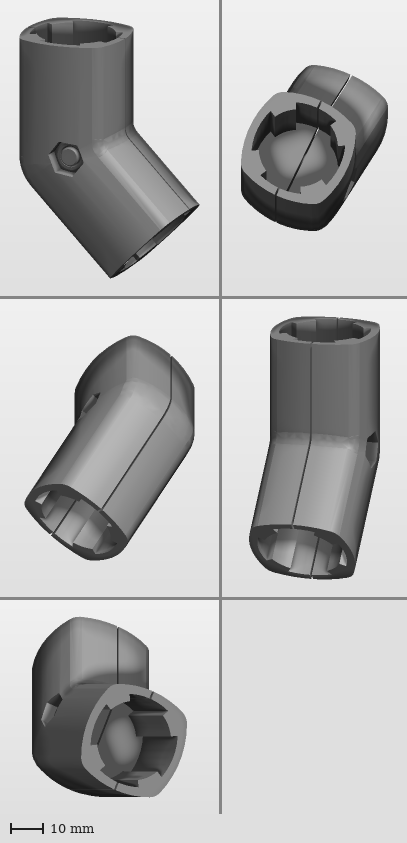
import cadquery as cq
import math


TOTAL_HEIGHT = 75.7
HALF_WIDTH = 16.5
BEND_ANGLE = 45.0
SPLIT_GAP = 0.6

CROWN_RADIUS = 30.0
CORNER_RADIUS = 5.0
OUTER_BEND_RADIUS = 15.0
INNER_BEND_RADIUS = 5.0
SIDE_BEND_RADIUS = 15.0

GROOVE_RADIUS = 14.0
GROOVE_EDGE_RADIUS = 14.5
GROOVE_ANGLE = 57.0
RIB_RADIUS = 12.25
SOCKET_DEPTH = 30.0

FASTENER_OFFSET = 3.85
HEX_ACROSS_CORNERS = 11.7
NUT_FACE_DEPTH = 12.7
NUT_FACE_DIAMETER = 8.6
NUT_BEVEL_ANGLE = 30.0
COUNTERSINK_DIAMETER = 7.0
BOLT_DIAMETER = 6.05
BOLT_TIP_DIAMETER = 5.15
BOLT_TIP_DEPTH = 13.8

MITRE_ANGLE = BEND_ANGLE / 2
MITRE_COS = math.cos(math.radians(MITRE_ANGLE))
MITRE_SIN = math.sin(math.radians(MITRE_ANGLE))
BEND_COS = math.cos(math.radians(BEND_ANGLE))
BEND_SIN = math.sin(math.radians(BEND_ANGLE))
ARM_LENGTH = (TOTAL_HEIGHT - HALF_WIDTH * BEND_SIN) / (1 + BEND_COS)
CROWN_CENTRE = CROWN_RADIUS - HALF_WIDTH
CORNER = (math.sqrt(2 * CROWN_RADIUS**2 - CROWN_CENTRE**2) - CROWN_CENTRE) / 2
HALF_GAP = SPLIT_GAP / 2
REACH = 2 * TOTAL_HEIGHT

MITRE_TOLERANCE = 0.01
CORNER_TOLERANCE = 0.3


def along_mitre(distance):
    """The point on the mitre line at a distance from where the arm axes meet."""
    return (distance * MITRE_COS, 0, distance * MITRE_SIN)


def bend_to_lower(upper):
    """Turn an upper arm feature half a turn about the mitre line, onto the lower arm."""
    return upper.rotate((0, 0, 0), along_mitre(1), 180)


def fastener_plane():
    """Plane on the split, facing the front, with its local X along the mitre line."""
    return cq.Plane(origin=along_mitre(FASTENER_OFFSET), xDir=along_mitre(1), normal=(0, -1, 0))


def hex_prism(length, both=False):
    """Hexagonal prism with two of its flats square to the mitre line."""
    sketch = cq.Workplane(fastener_plane()).transformed(rotate=(0, 0, 30))
    return sketch.polygon(6, HEX_ACROSS_CORNERS).extrude(length, both=both)


def arm_section():
    """Square of four outward arcs. Each arc is in two pieces that meet at its crown."""
    crowns = [(0, -HALF_WIDTH), (HALF_WIDTH, 0), (0, HALF_WIDTH), (-HALF_WIDTH, 0)]
    corners = [(CORNER, -CORNER), (CORNER, CORNER), (-CORNER, CORNER), (-CORNER, -CORNER)]
    half_arc = math.asin(CORNER / CROWN_RADIUS) / 2
    along = CROWN_RADIUS * math.sin(half_arc)
    out = CROWN_RADIUS * math.cos(half_arc) - CROWN_CENTRE
    leaving = [(along, -out), (out, along), (-along, out), (-out, -along)]
    arriving = [(out, -along), (along, out), (-out, along), (-along, -out)]
    outline = cq.Workplane("XY").moveTo(*crowns[0])
    for side in range(4):
        outline = outline.threePointArc(leaving[side], corners[side])
        outline = outline.threePointArc(arriving[side], crowns[(side + 1) % 4])
    return outline.close()


def upper_arm():
    """Solid upper arm with sharp corners, cut off along the mitre plane."""
    arm = arm_section().extrude(ARM_LENGTH + HALF_WIDTH).translate((0, 0, -HALF_WIDTH))
    above_mitre = cq.Workplane("XY").box(REACH, REACH, REACH, centered=(True, True, False))
    return arm.intersect(above_mitre.rotate((0, 0, 0), (0, 1, 0), -MITRE_ANGLE))


def points_along(edge):
    """Start, middle and end of an edge."""
    return [edge.positionAt(t) for t in (0, 0.5, 1)]


def round_mitre(elbow, on_face, radius):
    """Round the edges on the mitre plane whose middle point passes the on_face test."""
    edges = []
    for edge in elbow.edges().vals():
        points = points_along(edge)
        heights = [abs(point.z * MITRE_COS - point.x * MITRE_SIN) for point in points]
        if max(heights) < MITRE_TOLERANCE and on_face(points[1]):
            edges.append(edge)
    return elbow.newObject(edges).fillet(radius)


def round_corners(elbow):
    """Round the four corners of the section along both arms and round the bend."""
    edges = []
    for edge in elbow.edges().vals():
        distances = [abs(abs(point.y) - CORNER) for point in points_along(edge)]
        if max(distances) < CORNER_TOLERANCE:
            edges.append(edge)
    return elbow.newObject(edges).fillet(CORNER_RADIUS)


def solid_elbow():
    """Elbow with its rounded bend and a hexagonal well in the front and the back."""
    upper = upper_arm()
    elbow = upper.union(bend_to_lower(upper)).cut(hex_prism(REACH, both=True))
    elbow = round_mitre(elbow, lambda p: p.x > 0 and abs(p.y) < CORNER, INNER_BEND_RADIUS)
    elbow = round_mitre(elbow, lambda p: p.x > 0 and abs(p.y) > CORNER, SIDE_BEND_RADIUS)
    elbow = round_mitre(elbow, lambda p: p.x < 0 and abs(p.y) < CORNER, OUTER_BEND_RADIUS)
    elbow = round_mitre(elbow, lambda p: p.x < 0 and abs(p.y) > CORNER, SIDE_BEND_RADIUS)
    return round_corners(elbow)


def polar(radius, angle):
    """Point at a radius and an angle in degrees."""
    return (radius * math.cos(math.radians(angle)), radius * math.sin(math.radians(angle)))


def upper_socket():
    """Blind socket with a wide groove behind each side and a rib left in each corner."""
    half_groove = GROOVE_ANGLE / 2
    outline = cq.Workplane("XY", origin=(0, 0, ARM_LENGTH)).moveTo(*polar(RIB_RADIUS, -half_groove))
    for middle in (0, 90, 180, 270):
        end = middle + half_groove
        outline = outline.lineTo(*polar(GROOVE_EDGE_RADIUS, middle - half_groove))
        outline = outline.threePointArc(
            polar(GROOVE_RADIUS, middle), polar(GROOVE_EDGE_RADIUS, end)
        )
        outline = outline.lineTo(*polar(RIB_RADIUS, end))
        outline = outline.threePointArc(
            polar(RIB_RADIUS, middle + 45), polar(RIB_RADIUS, middle + 90 - half_groove)
        )
    return outline.close().extrude(-SOCKET_DEPTH)


def ring_cutter(section):
    """Ring about the fastener axis, from points of radius and distance in front of the split."""
    ring = cq.Workplane("XY").polyline(section).close().revolve(360, (0, 0, 0), (0, 1, 0))
    return ring.rotate((0, 0, 0), (1, 0, 0), 180).translate(along_mitre(FASTENER_OFFSET))


def nut():
    """Hexagonal core up to the nut's face, with bevelled corners and a countersunk bore."""
    hex_radius = HEX_ACROSS_CORNERS / 2
    face_radius = NUT_FACE_DIAMETER / 2
    bolt_radius = BOLT_DIAMETER / 2
    sink_radius = COUNTERSINK_DIAMETER / 2
    bevel_drop = (hex_radius - face_radius) * math.tan(math.radians(NUT_BEVEL_ANGLE))
    bevel = ring_cutter([
        (face_radius, NUT_FACE_DEPTH),
        (hex_radius, NUT_FACE_DEPTH - bevel_drop),
        (hex_radius, NUT_FACE_DEPTH),
    ])
    countersink = ring_cutter([
        (bolt_radius, NUT_FACE_DEPTH),
        (bolt_radius, NUT_FACE_DEPTH - (sink_radius - bolt_radius)),
        (sink_radius, NUT_FACE_DEPTH),
    ])
    return hex_prism(NUT_FACE_DEPTH).cut(bevel).cut(countersink)


def bolt():
    """Bolt from the back shell's split face to its bevelled tip in front of the nut."""
    shank = (
        cq.Workplane(fastener_plane()).workplane(offset=-HALF_GAP)
        .circle(BOLT_DIAMETER / 2).extrude(BOLT_TIP_DEPTH + HALF_GAP)
    )
    return shank.faces("<Y").chamfer((BOLT_DIAMETER - BOLT_TIP_DIAMETER) / 2)


def front_shell(elbow_with_core):
    """Front half of the elbow, hollowed by the two sockets."""
    front = cq.Workplane("XY").box(REACH, REACH, REACH).translate((0, -HALF_GAP - REACH / 2, 0))
    socket = upper_socket()
    return elbow_with_core.intersect(front).cut(socket).cut(bend_to_lower(socket))


elbow = solid_elbow()
front_half = front_shell(elbow.union(nut())).union(bolt())
back_half = front_shell(elbow.union(hex_prism(NUT_FACE_DEPTH))).mirror("XZ")

result = cq.Compound.makeCompound([*front_half.solids().vals(), *back_half.solids().vals()])